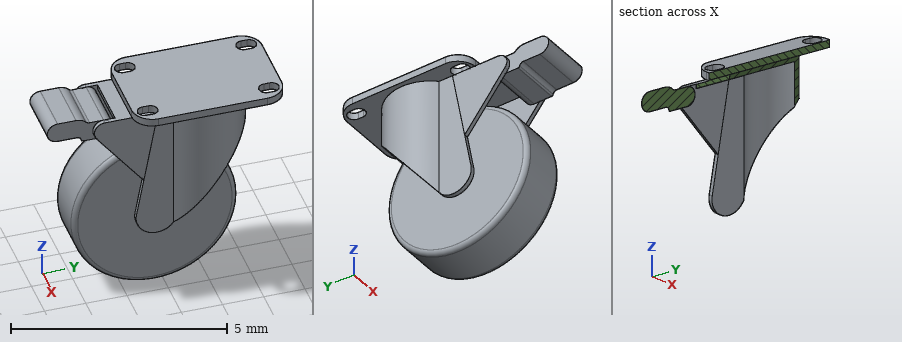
import cadquery as cq
import math


wheel_radius = 2.0
wheel_width = 1.255
wheel_edge_radius = 0.125

overall_height = 5.12
overall_length = 5.66
plate_width = 2.5
plate_length = 3.64
plate_thickness = 0.19
plate_corner_radius = 0.5
swivel_y = 1.215
slot_spacing_x = 1.745
slot_spacing_y = 2.945
slot_length = 0.48
slot_width = 0.34
plate_top = overall_height - wheel_radius
plate_bottom = plate_top - plate_thickness

sheet = 0.115
fork_radius = 1.125
leg_outer_width = 1.56
leg_tip_radius = 0.505
fork_front_y = 0.03
fork_back_y = swivel_y + fork_radius
fork_back_bottom = 2.175
leg_inner_width = leg_outer_width - 2 * sheet

bracket_tip_radius = 0.26
hinge_y = -1.255
hinge_z = plate_bottom - bracket_tip_radius
bracket_low_z = 1.06
roof_opening_y = -0.98

lever_height = 0.49
lever_hinge_radius = lever_height / 2
lever_bottom = plate_bottom - lever_height
pedal_height = 0.505
pedal_radius = pedal_height / 2
pedal_top = 3.07
pedal_bottom = pedal_top - pedal_height
pedal_end_y = swivel_y + plate_length / 2 - overall_length
upper_step_start_y = -1.595
upper_step_end_y = -1.925
upper_step_split = 0.27
lower_step_start_y = -1.9
lower_step_end_y = -1.755
lower_step_split = 0.7


def tangent_point(point, center, radius, side):
    """Point where a line from `point` touches a circle; side +1 or -1 picks the line."""
    dy = point[0] - center[0]
    dz = point[1] - center[1]
    angle = math.atan2(dz, dy) + side * math.acos(radius / math.hypot(dy, dz))
    return (center[0] + radius * math.cos(angle), center[1] + radius * math.sin(angle))


def between(start, end, share):
    """Point at the given share of the way from start to end."""
    return (start[0] + share * (end[0] - start[0]), start[1] + share * (end[1] - start[1]))


def box_between(width, y_min, y_max, z_min, z_max):
    """Box centred on X = 0 that spans the given Y and Z ranges."""
    size = (width, y_max - y_min, z_max - z_min)
    center = (0, (y_min + y_max) / 2, (z_min + z_max) / 2)
    return cq.Workplane("XY").box(*size).translate(center)


def make_wheel():
    disc = (
        cq.Workplane("YZ", origin=(-wheel_width / 2, 0, 0)).circle(wheel_radius).extrude(wheel_width)
    )
    return disc.edges().fillet(wheel_edge_radius)


def make_plate():
    plate = (
        cq.Workplane("XY", origin=(0, swivel_y, plate_bottom))
        .rect(plate_width, plate_length)
        .extrude(plate_thickness)
        .edges("|Z").fillet(plate_corner_radius)
    )
    slots = (
        cq.Workplane("XY", origin=(0, swivel_y, plate_bottom))
        .rect(slot_spacing_x, slot_spacing_y, forConstruction=True)
        .vertices()
        .slot2D(slot_length, slot_width, 90)
        .extrude(plate_thickness)
    )
    return plate.cut(slots)


fork_front_top = (fork_front_y, plate_bottom)
leg_front_tangent = tangent_point(fork_front_top, (0, 0), leg_tip_radius, 1)


def keyhole(radius, width, z_min, z_max):
    """Upright cylinder on the swivel axis joined to a straight channel towards -Y."""
    cylinder = (
        cq.Workplane("XY", origin=(0, swivel_y, z_min)).circle(radius).extrude(z_max - z_min)
    )
    return cylinder.union(box_between(width, -fork_radius, swivel_y, z_min, z_max))


def make_fork():
    back_bottom = (fork_back_y, fork_back_bottom)
    back_tangent = tangent_point(back_bottom, (0, 0), leg_tip_radius, -1)
    side_shape = (
        cq.Workplane("YZ")
        .moveTo(*fork_front_top)
        .lineTo(*leg_front_tangent)
        .threePointArc((0, -leg_tip_radius), back_tangent)
        .lineTo(*back_bottom)
        .lineTo(fork_back_y, plate_bottom)
        .close()
        .extrude(fork_radius, both=True)
    )
    outer = keyhole(fork_radius, leg_outer_width, -leg_tip_radius, plate_bottom)
    cavity = keyhole(fork_radius - sheet, leg_inner_width, -leg_tip_radius, plate_bottom - sheet)
    return outer.intersect(side_shape).cut(cavity)


def make_bracket():
    drop = (plate_bottom - bracket_low_z) / (plate_bottom - leg_front_tangent[1])
    low_corner = between(fork_front_top, leg_front_tangent, drop)
    tip_tangent = tangent_point(low_corner, (hinge_y, hinge_z), bracket_tip_radius, -1)
    body = (
        cq.Workplane("YZ")
        .moveTo(*fork_front_top)
        .lineTo(hinge_y, plate_bottom)
        .threePointArc((hinge_y - bracket_tip_radius, hinge_z), tip_tangent)
        .lineTo(*low_corner)
        .close()
        .extrude(leg_outer_width / 2, both=True)
    )
    front_y = hinge_y - bracket_tip_radius
    channel = box_between(leg_inner_width, front_y, fork_back_y, 0, plate_bottom - sheet)
    roof_opening = box_between(leg_inner_width, front_y, roof_opening_y, 0, plate_bottom)
    return body.cut(channel).cut(roof_opening)


def make_lever():
    upper_start = (upper_step_start_y, plate_bottom)
    upper_end = (upper_step_end_y, pedal_top)
    lower_start = (lower_step_start_y, pedal_bottom)
    lower_end = (lower_step_end_y, lever_bottom)
    pedal_center_y = pedal_end_y + pedal_radius
    hinge_back = (hinge_y + lever_hinge_radius, plate_bottom - lever_hinge_radius)
    return (
        cq.Workplane("YZ", origin=(-leg_inner_width / 2, 0, 0))
        .moveTo(hinge_y, plate_bottom)
        .lineTo(*upper_start)
        .tangentArcPoint(between(upper_start, upper_end, upper_step_split), relative=False)
        .tangentArcPoint(upper_end, relative=False)
        .lineTo(pedal_center_y, pedal_top)
        .threePointArc((pedal_end_y, pedal_top - pedal_radius), (pedal_center_y, pedal_bottom))
        .lineTo(*lower_start)
        .tangentArcPoint(between(lower_start, lower_end, lower_step_split), relative=False)
        .tangentArcPoint(lower_end, relative=False)
        .lineTo(hinge_y, lever_bottom)
        .threePointArc(hinge_back, (hinge_y, plate_bottom))
        .close()
        .extrude(leg_inner_width)
    )


wheel = make_wheel()
plate = make_plate()
fork = make_fork()
bracket = make_bracket()
lever = make_lever()

bodies = [wheel, plate, fork, bracket, lever]
result = cq.Compound.makeCompound([body.solids().val() for body in bodies])